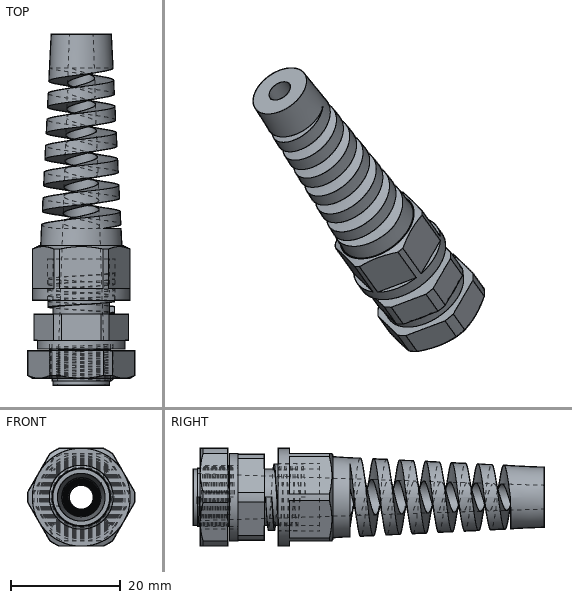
import cadquery as cq
import math


total_length = 64.1
bore_entry_radius = 4.35
bore_exit_radius = 2.2

nut_start = 1.3
nut_end = 6.35
nut_width = 17.9
nut_corner_radius = 9.8
nut_chamfer_height = 0.5

gasket_start = 6.6
gasket_radius = 8.0

body_hex_start = 8.2
body_hex_end = 13.0
body_hex_width = 15.8
body_corner_radius = 8.65
neck_radius = 5.2
neck_end = 23.1

nut_thread_radius = 5.85
nut_thread_core_radius = 5.3
nut_thread_core_start = 0.8
nut_thread_pitch = 1.5
nut_thread_start = 1.2
nut_thread_turns = 4
nut_thread_root_width = 1.3
nut_thread_crest_width = 0.3

cap_thread_radius = 6.1
cap_thread_pitch = 2.05
cap_thread_start = 13.8
cap_thread_turns = 3
cap_thread_root_width = 1.2
cap_thread_crest_width = 1.1
thread_root_overlap = 0.2

cap_start = 15.5
cap_thread_clearance = 0.05
cap_bore_radius = cap_thread_radius + cap_thread_clearance
cap_hex_start = 17.6
cap_hex_width = 16.0
cap_corner_radius = nut_width / 2
cap_chamfer_start = 24.9
cap_hex_end = 25.5
cap_shoulder_radius = 7.6

sleeve_base_radius = 7.45
sleeve_tip_radius = 5.5
coil_start = 28.65
coil_end = 57.95
slot_pitch = 4.775
slot_inner_width = 1.4
slot_outer_width = 2.7
slot_turns = 7
slot_start = 25.8
slot_inner_radius = 1.9
slot_outer_radius = 8.35
slot_trim_radius = 9.6


def cylinder(radius, start, end):
    return cq.Workplane("XY", origin=(0, 0, start)).circle(radius).extrude(end - start)


def revolved(outline):
    """Solid turned from a closed outline of (radius, height) points."""
    return cq.Workplane("XZ").polyline(outline).close().revolve(360, (0, 0, 0), (0, 1, 0))


def hexagon(width, start, end):
    """Hexagonal prism with its corners toward +X and -X."""
    across_corners = width / math.cos(math.pi / 6)
    return cq.Workplane("XY", origin=(0, 0, start)).polygon(6, across_corners).extrude(end - start)


def helical_sweep(outline, pitch, turns, start):
    """Sweep an outline of (radius, height from start) points along a right-hand helix.

    The outline runs clockwise, from its upper inner point, so that the solid faces outward.
    """
    guide_radius = outline[0][0]
    helix = cq.Wire.makeHelix(pitch, pitch * turns, guide_radius, cq.Vector(0, 0, start))
    section = cq.Workplane("XZ", origin=(0, 0, start)).polyline(outline).close()
    return section.sweep(cq.Workplane(helix), isFrenet=True)


def thread(crest_radius, root_width, crest_width, pitch, turns, start):
    """Helical ridge that is sunk slightly into the neck."""
    root_radius = neck_radius - thread_root_overlap
    outline = [
        (root_radius, root_width / 2),
        (crest_radius, crest_width / 2),
        (crest_radius, -crest_width / 2),
        (root_radius, -root_width / 2),
    ]
    return helical_sweep(outline, pitch, turns, start)


def through_bore():
    return revolved([
        (0, 0),
        (bore_entry_radius, 0),
        (bore_exit_radius, total_length),
        (0, total_length),
    ])


def make_locknut():
    blank = revolved([
        (nut_thread_radius, nut_start),
        (nut_width / 2, nut_start),
        (nut_corner_radius, nut_start + nut_chamfer_height),
        (nut_corner_radius, nut_end),
        (nut_thread_radius, nut_end),
    ])
    return hexagon(nut_width, nut_start, nut_end).intersect(blank)


def make_gasket():
    ring = cylinder(gasket_radius, gasket_start, body_hex_start)
    return ring.cut(cylinder(nut_thread_radius, gasket_start, body_hex_start))


def make_body():
    hex_collar = hexagon(body_hex_width, body_hex_start, body_hex_end).intersect(
        cylinder(body_corner_radius, body_hex_start, body_hex_end)
    )
    nut_thread = thread(
        nut_thread_radius, nut_thread_root_width, nut_thread_crest_width,
        nut_thread_pitch, nut_thread_turns, nut_thread_start,
    )
    cap_thread = thread(
        cap_thread_radius, cap_thread_root_width, cap_thread_crest_width,
        cap_thread_pitch, cap_thread_turns, cap_thread_start,
    )
    neck = cylinder(neck_radius, 0, neck_end)
    nut_thread_core = cylinder(nut_thread_core_radius, nut_thread_core_start, body_hex_start)
    tube = neck.union(nut_thread_core).union(hex_collar).cut(through_bore())
    return tube.union(nut_thread).union(cap_thread)


def coil_slot():
    """Helical slot, wider toward the outside, that turns the middle of the sleeve into a coil."""
    slot = helical_sweep(
        [
            (slot_inner_radius, slot_inner_width / 2),
            (slot_outer_radius, slot_outer_width / 2),
            (slot_outer_radius, -slot_outer_width / 2),
            (slot_inner_radius, -slot_inner_width / 2),
        ],
        slot_pitch, slot_turns, slot_start,
    )
    slot = slot.rotate((0, 0, 0), (0, 0, 1), 180)
    return slot.intersect(cylinder(slot_trim_radius, coil_start, coil_end))


def make_cap():
    hex_blank = revolved([
        (0, cap_hex_start),
        (cap_corner_radius, cap_hex_start),
        (cap_corner_radius, cap_chamfer_start),
        (cap_shoulder_radius, cap_hex_end),
        (0, cap_hex_end),
    ])
    grip = hexagon(cap_hex_width, cap_hex_start, cap_hex_end).intersect(hex_blank)
    flange = cylinder(cap_corner_radius, cap_start, cap_hex_start)
    sleeve = revolved([
        (0, cap_hex_end),
        (sleeve_base_radius, cap_hex_end),
        (sleeve_tip_radius, total_length),
        (0, total_length),
    ])
    cap = flange.union(grip).union(sleeve)
    cap = cap.cut(cylinder(cap_bore_radius, cap_start, neck_end))
    return cap.cut(through_bore()).cut(coil_slot())


def laid_along_y(body):
    """Turn an upright body so that its +Z end points toward +Y."""
    return body.rotate((0, 0, 0), (1, 0, 0), -90).val()


locknut = laid_along_y(make_locknut())
gasket = laid_along_y(make_gasket())
gland_body = laid_along_y(make_body())
cap = laid_along_y(make_cap())

result = cq.Compound.makeCompound([locknut, gasket, gland_body, cap])